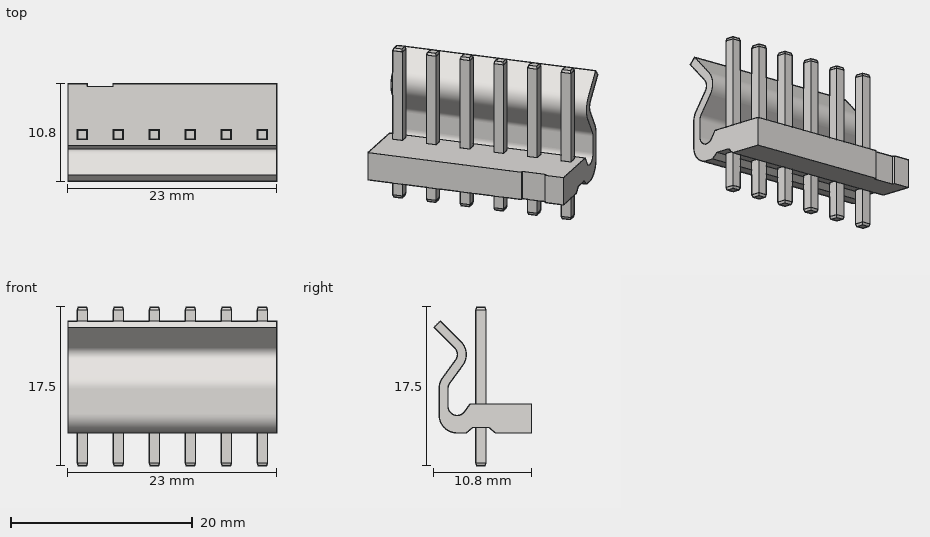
import cadquery as cq
import math

pin_count = 6
pin_pitch = 3.96
pin_side = 1.14
pin_bottom = -3.6
pin_length = 17.45
pin_tip_height = 0.3
pin_tip_inset = 0.1

body_length = 23.0
body_height = 3.2
body_back = 5.6
body_front_edge = -1.2

groove_half_bottom = 1.6
groove_half_top = 0.9
groove_depth = 0.6

notch_start = 2.15
notch_width = 2.8
notch_depth = 0.3

wall_thickness = 1.0
bend_inner_radius = 1.0
bend_outer_radius = bend_inner_radius + wall_thickness
wall_front = -4.6
wall_back = wall_front + wall_thickness
foot_inner_z = 2.95
wall_bend_z = 4.9
neck_angle = 36.0
neck_length = 2.45
lip_angle = 45.0
lip_front = -5.15


def polar(center, radius, angle):
    """Point at the given angle (degrees from +Y towards +Z) around a center."""
    turn = math.radians(angle)
    return (center[0] + radius * math.cos(turn), center[1] + radius * math.sin(turn))


def midway(start, end):
    """Angle halfway along an arc."""
    return (start + end) / 2


def make_housing():
    """Body, foot and bent locking wall as one profile extruded along X."""
    foot_center = (wall_front + bend_outer_radius, bend_outer_radius)
    hollow_center = (wall_back + bend_inner_radius, foot_inner_z)
    low_center = (wall_front + bend_outer_radius, wall_bend_z)

    low_angle = 180 - neck_angle
    upper_start = -neck_angle
    upper_end = lip_angle
    neck_start = polar(low_center, bend_outer_radius, low_angle)
    neck_end = polar(neck_start, neck_length, 90 - neck_angle)
    upper_center = polar(neck_end, bend_inner_radius, low_angle)

    lip_start = polar(upper_center, bend_inner_radius, upper_end)
    lip_length = (lip_start[0] - lip_front) / math.sin(math.radians(lip_angle))
    lip_tip_front = polar(lip_start, lip_length, 90 + lip_angle)
    lip_tip_back = polar(lip_tip_front, wall_thickness, lip_angle)

    ramp_y = body_front_edge - hollow_center[0]
    ramp_z = body_height - hollow_center[1]
    ramp_reach = math.hypot(ramp_y, ramp_z)
    ramp_bearing = math.degrees(math.atan2(ramp_z, ramp_y))
    hollow_end = ramp_bearing - math.degrees(math.acos(bend_inner_radius / ramp_reach))

    foot_mid = midway(180, 270)
    low_mid = midway(low_angle, 180)
    upper_mid = midway(upper_start, upper_end)
    hollow_mid = midway(-180, hollow_end)

    profile = (
        cq.Workplane("YZ", origin=(-body_length / 2, 0, 0))
        .moveTo(body_back, body_height)
        .lineTo(body_back, 0)
        .lineTo(groove_half_bottom, 0)
        .lineTo(groove_half_top, groove_depth)
        .lineTo(-groove_half_top, groove_depth)
        .lineTo(-groove_half_bottom, 0)
        .lineTo(foot_center[0], 0)
        .threePointArc(polar(foot_center, bend_outer_radius, foot_mid), (wall_front, foot_center[1]))
        .lineTo(wall_front, wall_bend_z)
        .threePointArc(polar(low_center, bend_outer_radius, low_mid), neck_start)
        .lineTo(*neck_end)
        .threePointArc(polar(upper_center, bend_inner_radius, upper_mid), lip_start)
        .lineTo(*lip_tip_front)
        .lineTo(*lip_tip_back)
        .lineTo(*polar(upper_center, bend_outer_radius, upper_end))
        .threePointArc(
            polar(upper_center, bend_outer_radius, upper_mid),
            polar(upper_center, bend_outer_radius, upper_start),
        )
        .lineTo(*polar(low_center, bend_inner_radius, low_angle))
        .threePointArc(polar(low_center, bend_inner_radius, low_mid), (wall_back, wall_bend_z))
        .lineTo(wall_back, foot_inner_z)
        .threePointArc(
            polar(hollow_center, bend_inner_radius, hollow_mid),
            polar(hollow_center, bend_inner_radius, hollow_end),
        )
        .lineTo(body_front_edge, body_height)
        .close()
    )
    return profile.extrude(body_length)


def make_notch():
    """Full-height cutter for the shallow notch in the back face."""
    notch_corner = (notch_start - body_length / 2, body_back - notch_depth, 0)
    notch = cq.Workplane("XY").box(notch_width, notch_depth, body_height, centered=False)
    return notch.translate(notch_corner)


def make_pin(x):
    """Square pin with tapered tips at both ends."""
    tip_side = pin_side - 2 * pin_tip_inset
    shank_length = pin_length - 2 * pin_tip_height
    shank_bottom = pin_bottom + pin_tip_height
    shank = (
        cq.Workplane("XY", origin=(x, 0, shank_bottom))
        .rect(pin_side, pin_side)
        .extrude(shank_length)
    )
    upper_tip = (
        cq.Workplane("XY", origin=(x, 0, shank_bottom + shank_length))
        .rect(pin_side, pin_side)
        .workplane(offset=pin_tip_height)
        .rect(tip_side, tip_side)
        .loft(ruled=True)
    )
    lower_tip = upper_tip.mirror("XY", (x, 0, shank_bottom + shank_length / 2))
    return shank.union(upper_tip).union(lower_tip)


result = make_housing().cut(make_notch())
for index in range(pin_count):
    result = result.union(make_pin((index - (pin_count - 1) / 2) * pin_pitch))